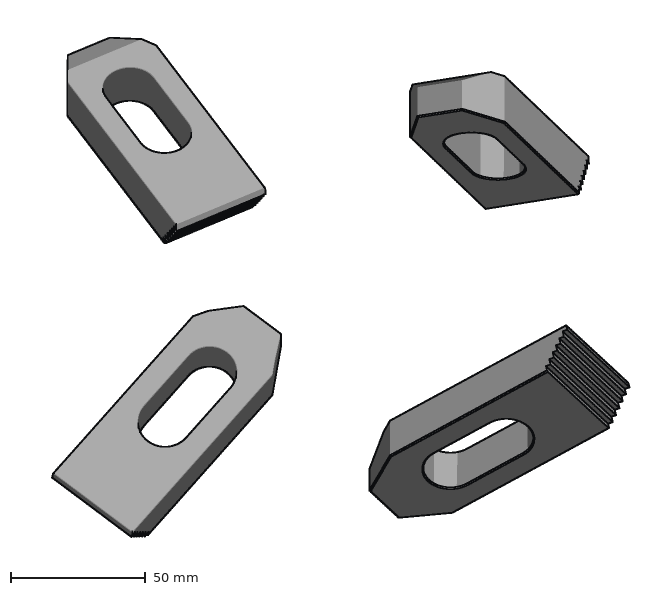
import cadquery as cq
import math

length = 100.0
width = 38.0
height = 19.0
edge_radius = 0.5
base_chamfer = 0.5

nose_width = 18.0
nose_height = 12.0
nose_slope = math.tan(math.radians(30))
flank_run = (width - nose_width) / 2 / nose_slope
ramp_run = (height - nose_height) / nose_slope

slot_center_x = 44.0
slot_length = 46.0
slot_width = 20.0

tooth_count = 6
heel_slope = math.tan(math.radians(60))
tooth_step_z = 2.7
tooth_step_x = tooth_step_z / heel_slope
top_tip_z = 16.0
root_depth = 2.2
root_rise = 0.5

face_lean = (root_depth - tooth_step_x) / (tooth_step_z + root_rise)

last_root_x = length - (tooth_count - 1) * tooth_step_x - root_depth
last_root_z = top_tip_z - (tooth_count - 1) * tooth_step_z + root_rise
foot_x = last_root_x + face_lean * last_root_z


def side_profile():
    """Lengthwise outline with the nose ramp and the heel teeth."""
    top_x = length - face_lean * (height - top_tip_z)
    points = [(0, 0), (0, nose_height), (ramp_run, height), (top_x, height)]
    for i in range(tooth_count):
        tip_x = length - i * tooth_step_x
        tip_z = top_tip_z - i * tooth_step_z
        points += [(tip_x, tip_z), (tip_x - root_depth, tip_z + root_rise)]
    points.append((foot_x, 0))
    return cq.Workplane("XZ").polyline(points).close().extrude(width / 2, both=True)


def plan_prism():
    """Prism of the plan outline with the tapered nose."""
    points = [
        (0, -nose_width / 2),
        (flank_run, -width / 2),
        (length, -width / 2),
        (length, width / 2),
        (flank_run, width / 2),
        (0, nose_width / 2),
    ]
    return cq.Workplane("XY").polyline(points).close().extrude(height)


def cut_slot(body):
    """Slot through the full height."""
    cutter = (
        cq.Workplane("XY")
        .center(slot_center_x, 0)
        .slot2D(slot_length, slot_width)
        .extrude(height)
    )
    return body.cut(cutter)


def round_edges(body):
    """Round the edges of the top, ramp, nose and shoulders, leaving the base and teeth sharp."""
    ramp_middle = (ramp_run / 2, 0, (height + nose_height) / 2)
    ramp_face = cq.selectors.NearestToPointSelector(ramp_middle)
    shoulder_zone = cq.selectors.BoxSelector(
        (flank_run - edge_radius, -width, 0), (flank_run + edge_radius, width, height)
    )
    edges = body.faces(">Z").edges()
    edges = edges.add(body.faces(ramp_face).edges())
    edges = edges.add(body.faces("<X").edges("|Z"))
    edges = edges.add(body.edges("|Z").edges(shoulder_zone))
    return body.newObject(edges.vals()).fillet(edge_radius)


def chamfer_base(body):
    """Chamfer the base outline and slot rim, except along the foot of the heel."""
    return body.faces("<Z").edges("not >X").chamfer(base_chamfer)


blank = side_profile().intersect(plan_prism())
rounded = round_edges(cut_slot(blank))
result = chamfer_base(rounded)